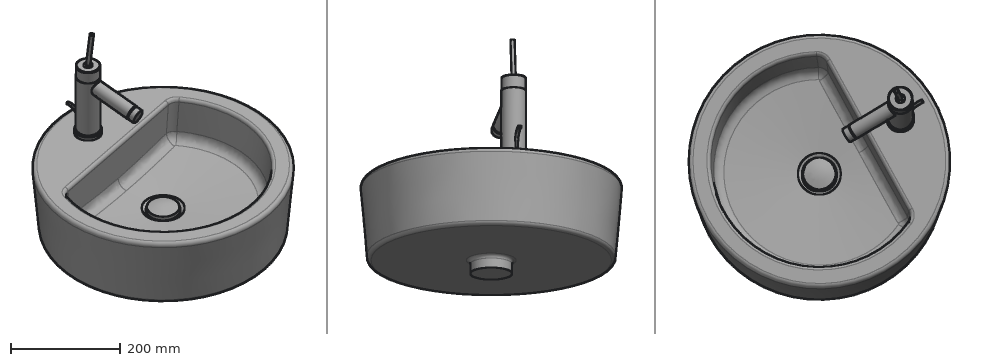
import cadquery as cq
import math

RIM_RADIUS = 239.5
RIM_HEIGHT = 145.0
DRAFT_ANGLE = 5.0
BASIN_EDGE_RADIUS = 8.0
TAIL_RADIUS = 38.5
TAIL_LENGTH = 25.5
TAIL_FILLET = 7.0

POCKET_TOP_RADIUS = 199.0
POCKET_FLAT_X = -100.5
POCKET_LIP_RADIUS = 7.0
POCKET_FILLET_RADIUS = 20.0

DRAIN_RIM_RADIUS = 39.3
DRAIN_RIM_DEPTH = 100.5
DRAIN_SEAT_RADIUS = 32.0
DRAIN_SEAT_DROP = 4.0
DRAIN_RECESS_DEPTH = 5.0

PLUG_RADIUS = 29.9
PLUG_RISE = 3.0
PLUG_DOME_HEIGHT = 5.5

FAUCET_X = -168.0
BASE_RADIUS = 25.5
BASE_HEIGHT = 10.0
BASE_CHAMFER_WIDTH = 1.5
BASE_CHAMFER_HEIGHT = 3.0
BODY_RADIUS = 23.0
BODY_HEIGHT = 119.5
CAP_RADIUS = 22.5
CAP_HEIGHT = 25.0
CAP_CHAMFER = 1.5

LEVER_RADIUS = 4.05
LEVER_TILT = 6.5
LEVER_TOP = 230.0
LEVER_EDGE_CHAMFER = 1.0
LEVER_BALL_RADIUS = 17.45
LEVER_BALL_HEIGHT = 2.15

SPOUT_RADIUS = 14.5
SPOUT_TILT = 16.0
SPOUT_ROOT_HEIGHT = 117.0
SPOUT_LENGTH = 102.0
AERATOR_NECK_RADIUS = 13.0
AERATOR_NECK_LENGTH = 1.5
AERATOR_RADIUS = 14.0
AERATOR_LENGTH = 13.0

ROD_WIDTH = 6.0
ROD_THICKNESS = 4.5
ROD_INNER_RADIUS = 22.5
ROD_CENTER_HEIGHT = 23.0
ROD_STANDOFF = 0.5
ROD_END_LENGTH = 8.5

DRAFT_SLOPE = math.tan(math.radians(DRAFT_ANGLE))
DRAIN_RIM_Z = RIM_HEIGHT - DRAIN_RIM_DEPTH
RECESS_FLOOR_Z = DRAIN_RIM_Z - DRAIN_SEAT_DROP - DRAIN_RECESS_DEPTH
BODY_BOTTOM_Z = RIM_HEIGHT + BASE_HEIGHT
CAP_BOTTOM_Z = BODY_BOTTOM_Z + BODY_HEIGHT
CAP_TOP_Z = CAP_BOTTOM_Z + CAP_HEIGHT


def cylinder_at_faucet(radius, height, bottom_z):
    return cq.Workplane("XY", origin=(FAUCET_X, 0, bottom_z)).circle(radius).extrude(height)


def revolve_about_z(profile):
    return profile.close().revolve(360, (0, 0, 0), (0, 1, 0))


def make_drum():
    """Solid tapered drum with its tail; the rounded rim reaches exactly RIM_RADIUS."""
    draft = math.radians(DRAFT_ANGLE)
    corner_overhang = BASIN_EDGE_RADIUS * (1 / math.cos(draft) + math.tan(draft) - 1)
    top_radius = RIM_RADIUS + corner_overhang
    bottom_radius = top_radius - RIM_HEIGHT * DRAFT_SLOPE
    drum = revolve_about_z(
        cq.Workplane("XZ")
        .moveTo(0, 0)
        .lineTo(bottom_radius, 0)
        .lineTo(top_radius, RIM_HEIGHT)
        .lineTo(0, RIM_HEIGHT)
    )
    drum = drum.faces("<Z or >Z").edges().fillet(BASIN_EDGE_RADIUS)
    fillet_center = (TAIL_RADIUS + TAIL_FILLET, -TAIL_FILLET)
    fillet_middle_offset = TAIL_FILLET * math.sqrt(0.5)
    tail = revolve_about_z(
        cq.Workplane("XZ")
        .moveTo(0, 0)
        .lineTo(fillet_center[0], 0)
        .threePointArc(
            (fillet_center[0] - fillet_middle_offset, fillet_center[1] + fillet_middle_offset),
            (TAIL_RADIUS, -TAIL_FILLET),
        )
        .lineTo(TAIL_RADIUS, -TAIL_LENGTH)
        .lineTo(0, -TAIL_LENGTH)
    )
    return drum.union(tail)


def make_pocket():
    """Volume of the bowl: a cone with a conical floor, cut off by a vertical flat."""
    floor_apex_z = DRAIN_RIM_Z - DRAIN_RIM_RADIUS * DRAFT_SLOPE
    wall_radius_at_apex = POCKET_TOP_RADIUS - (RIM_HEIGHT - floor_apex_z) * DRAFT_SLOPE
    floor_radius = wall_radius_at_apex / (1 - DRAFT_SLOPE**2)
    pocket = revolve_about_z(
        cq.Workplane("XZ")
        .moveTo(0, floor_apex_z)
        .lineTo(floor_radius, floor_apex_z + floor_radius * DRAFT_SLOPE)
        .lineTo(POCKET_TOP_RADIUS, RIM_HEIGHT)
        .lineTo(0, RIM_HEIGHT)
    )
    beyond_flat = (
        cq.Workplane("XY", origin=(POCKET_FLAT_X, 0, 0))
        .box(RIM_RADIUS, 2 * RIM_RADIUS, RIM_HEIGHT, centered=(False, True, False))
        .translate((-RIM_RADIUS, 0, 0))
    )
    half_turn = 180
    pocket = pocket.rotate((0, 0, 0), (0, 0, 1), half_turn).cut(beyond_flat)
    pocket = pocket.faces("<X").edges("<Y or >Y").fillet(POCKET_FILLET_RADIUS)
    return pocket.faces("<Z").edges().fillet(POCKET_FILLET_RADIUS)


def make_drain_opening():
    """Conical seat narrowing to the blind recess that holds the plug."""
    seat_z = DRAIN_RIM_Z - DRAIN_SEAT_DROP
    return revolve_about_z(
        cq.Workplane("XZ")
        .moveTo(0, RECESS_FLOOR_Z)
        .lineTo(DRAIN_SEAT_RADIUS, RECESS_FLOOR_Z)
        .lineTo(DRAIN_SEAT_RADIUS, seat_z)
        .lineTo(DRAIN_RIM_RADIUS, DRAIN_RIM_Z)
        .lineTo(0, DRAIN_RIM_Z)
    )


def make_basin():
    basin = make_drum().cut(make_pocket())
    deck = basin.faces(">Z").val()
    pocket_mouth = deck.innerWires()[0]
    basin = cq.Workplane(basin.val().fillet(POCKET_LIP_RADIUS, pocket_mouth.Edges()))
    return basin.cut(make_drain_opening())


def make_plug():
    edge_z = DRAIN_RIM_Z + PLUG_RISE
    dome_radius = (PLUG_RADIUS**2 + PLUG_DOME_HEIGHT**2) / (2 * PLUG_DOME_HEIGHT)
    apex_z = edge_z + PLUG_DOME_HEIGHT
    middle_x = PLUG_RADIUS / 2
    middle_z = apex_z - dome_radius + math.sqrt(dome_radius**2 - middle_x**2)
    return revolve_about_z(
        cq.Workplane("XZ")
        .moveTo(0, RECESS_FLOOR_Z)
        .lineTo(PLUG_RADIUS, RECESS_FLOOR_Z)
        .lineTo(PLUG_RADIUS, edge_z)
        .threePointArc((middle_x, middle_z), (0, apex_z))
    )


def make_base():
    base = cylinder_at_faucet(BASE_RADIUS, BASE_HEIGHT, RIM_HEIGHT)
    return base.faces(">Z").chamfer(BASE_CHAMFER_HEIGHT, BASE_CHAMFER_WIDTH)


def make_body():
    return cylinder_at_faucet(BODY_RADIUS, BODY_HEIGHT, BODY_BOTTOM_Z)


def make_cap():
    cap = cylinder_at_faucet(CAP_RADIUS, CAP_HEIGHT, CAP_BOTTOM_Z)
    return cap.faces(">Z").chamfer(CAP_CHAMFER)


def make_lever():
    """Slim rod leaning toward the bowl, on a low spherical foot that rests on the cap."""
    tilt = math.radians(LEVER_TILT)
    lean = cq.Vector(math.sin(tilt), 0, math.cos(tilt))
    rise = RIM_HEIGHT + LEVER_TOP - CAP_TOP_Z - LEVER_RADIUS * math.sin(tilt)
    rod_plane = cq.Plane(origin=(FAUCET_X, 0, CAP_TOP_Z), xDir=(0, 1, 0), normal=lean)
    rod = cq.Workplane(rod_plane).circle(LEVER_RADIUS).extrude(rise / math.cos(tilt))
    rod = rod.faces(">Z").chamfer(LEVER_EDGE_CHAMFER)
    ball_center = (FAUCET_X, 0, CAP_TOP_Z + LEVER_BALL_HEIGHT - LEVER_BALL_RADIUS)
    ball = cq.Workplane("XY").sphere(LEVER_BALL_RADIUS).translate(ball_center)
    above_cap = cylinder_at_faucet(CAP_RADIUS, LEVER_TOP, CAP_TOP_Z)
    return rod.union(ball).intersect(above_cap)


def spout_section(radius, start, length):
    """Cylinder on the spout axis, starting at a distance from the faucet axis."""
    tilt = math.radians(SPOUT_TILT)
    axis_plane = cq.Plane(
        origin=(FAUCET_X, 0, RIM_HEIGHT + SPOUT_ROOT_HEIGHT),
        xDir=(0, 1, 0),
        normal=(math.cos(tilt), 0, -math.sin(tilt)),
    )
    return cq.Workplane(axis_plane).workplane(offset=start).circle(radius).extrude(length)


def make_spout():
    """Plain tube whose root is hollowed to fit the round body."""
    faucet_core = cylinder_at_faucet(BODY_RADIUS, BODY_HEIGHT + CAP_HEIGHT, BODY_BOTTOM_Z)
    return spout_section(SPOUT_RADIUS, 0, SPOUT_LENGTH).cut(faucet_core)


def make_aerator():
    """Spout end piece set off from the tube by a narrow neck."""
    neck = spout_section(AERATOR_NECK_RADIUS, SPOUT_LENGTH, AERATOR_NECK_LENGTH)
    head_start = SPOUT_LENGTH + AERATOR_NECK_LENGTH
    return neck.union(spout_section(AERATOR_RADIUS, head_start, AERATOR_LENGTH))


def make_pull_rod():
    """Flat round-edged rod: a quarter bend from horizontal, then straight down along the body."""
    bend_x = FAUCET_X - BODY_RADIUS - ROD_STANDOFF - ROD_INNER_RADIUS
    bend_z = RIM_HEIGHT + ROD_CENTER_HEIGHT
    middle_radius = ROD_INNER_RADIUS + ROD_THICKNESS / 2
    bend = (
        cq.Workplane("YZ", origin=(bend_x, 0, bend_z + middle_radius))
        .slot2D(ROD_WIDTH, ROD_THICKNESS)
        .revolve(90, (-5, -middle_radius, 0), (0, -middle_radius, 0))
    )
    end = (
        cq.Workplane("XY", origin=(bend_x + middle_radius, 0, bend_z))
        .slot2D(ROD_WIDTH, ROD_THICKNESS, 90)
        .extrude(-ROD_END_LENGTH)
    )
    return bend.union(end).cut(make_body())


basin = make_basin()
plug = make_plug()
base = make_base()
body = make_body()
cap = make_cap()
lever = make_lever()
spout = make_spout()
aerator = make_aerator()
pull_rod = make_pull_rod()

result = cq.Compound.makeCompound(
    [part.val() for part in (basin, plug, base, body, cap, lever, spout, aerator, pull_rod)]
)